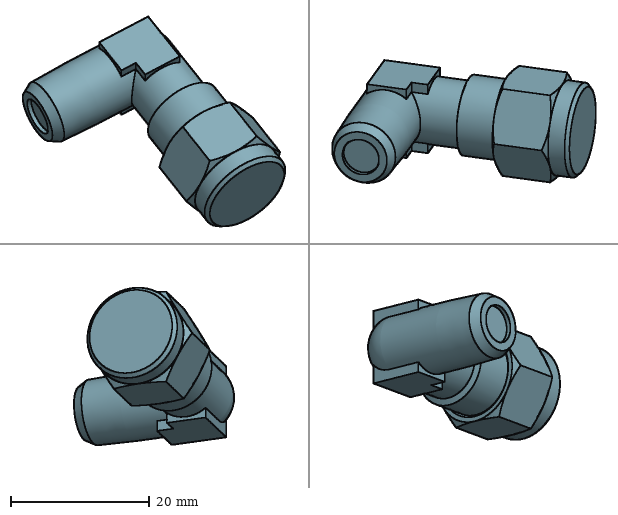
import cadquery as cq
import math


overall_length = 33
body_radius = 5.0
nut_arm_end = overall_length - body_radius

taper_start = 10.45
chamfer_start = 16.5
tapered_arm_end = 18.0
taper_end_radius = 4.82
tip_radius = 4.0
bore_radius = 2.77
bore_depth = 0.7

collar_start = 10.45
collar_radius = 5.95
collar_shoulder_length = 0.3

nut_start = 16.5
nut_length = 8.45
nut_sides = 6
nut_across_flats = 14.0
nut_chamfer_angle = 30
nut_recess_radius = 6.27
nut_recess_depth = 0.33
ring_radius = 6.95
ring_chamfer = 0.55

pad_outer_edge = 2.97
pad_length = 8.45
pad_width = 5.97
pad_height = 5.5


def revolve_about_x(points):
    """Revolve an (x, radius) outline about the X axis."""
    return cq.Workplane("XY").polyline(points).close().revolve(360, (0, 0, 0), (1, 0, 0))


def make_tapered_arm():
    outline = [
        (0, 0),
        (body_radius, 0),
        (body_radius, -taper_start),
        (taper_end_radius, -chamfer_start),
        (tip_radius, -tapered_arm_end),
        (bore_radius, -tapered_arm_end),
        (bore_radius, bore_depth - tapered_arm_end),
        (0, bore_depth - tapered_arm_end),
    ]
    return cq.Workplane("XY").polyline(outline).close().revolve(360, (0, 0, 0), (0, 1, 0))


def make_nut_arm():
    """Round neck, collar with a conical shoulder, and end ring, which the nut then surrounds."""
    return revolve_about_x([
        (0, 0),
        (0, body_radius),
        (collar_start, body_radius),
        (collar_start + collar_shoulder_length, collar_radius),
        (nut_start + nut_recess_depth, collar_radius),
        (nut_start + nut_recess_depth, ring_radius),
        (nut_arm_end - ring_chamfer, ring_radius),
        (nut_arm_end, ring_radius - ring_chamfer),
        (nut_arm_end, 0),
    ])


def make_nut():
    """Hexagon with flats facing +Z and -Z and its corners chamfered at both ends."""
    nut_end = nut_start + nut_length
    flat_radius = nut_across_flats / 2
    corner_radius = flat_radius / math.cos(math.pi / nut_sides)
    corner_drop = (corner_radius - flat_radius) * math.tan(math.radians(nut_chamfer_angle))
    hexagon = (
        cq.Workplane("YZ", origin=(nut_start, 0, 0))
        .polygon(nut_sides, 2 * corner_radius)
        .extrude(nut_length)
    )
    chamfer_envelope = revolve_about_x([
        (nut_start, 0),
        (nut_start, flat_radius),
        (nut_start + corner_drop, corner_radius),
        (nut_end - corner_drop, corner_radius),
        (nut_end, flat_radius),
        (nut_end, 0),
    ])
    recess = revolve_about_x([
        (nut_start, 0),
        (nut_start, nut_recess_radius),
        (nut_start + nut_recess_depth, collar_radius),
        (nut_start + nut_recess_depth, 0),
    ])
    return hexagon.intersect(chamfer_envelope).cut(recess)


def make_wrench_block():
    """L-shaped block following the bend of the elbow."""
    left = -pad_outer_edge
    back = pad_outer_edge
    outline = [
        (left, back),
        (left + pad_length, back),
        (left + pad_length, back - pad_width),
        (left + pad_width, back - pad_width),
        (left + pad_width, back - pad_length),
        (left, back - pad_length),
    ]
    return (
        cq.Workplane("XY")
        .polyline(outline).close()
        .extrude(pad_height, both=True)
    )


result = cq.Workplane("XY").sphere(body_radius)
result = result.union(make_tapered_arm()).union(make_nut_arm()).union(make_nut())
result = result.union(make_wrench_block())